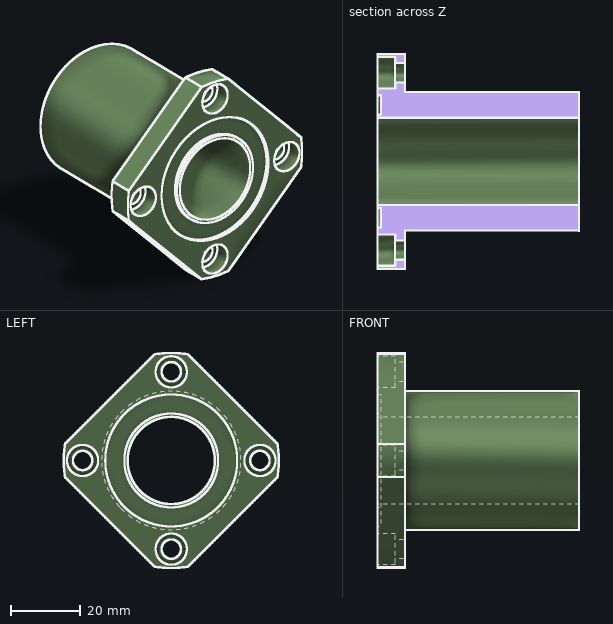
import cadquery as cq

flange_diameter = 61.95
flange_across_flats = 50.0
flange_thickness = 8.0

overall_length = 58.0
body_diameter = 40.0
bore_diameter = 25.05

recess_outer_diameter = 38.0
recess_inner_diameter = 27.0
recess_depth = 1.0

hole_count = 4
hole_circle_diameter = 51.0
hole_diameter = 5.5
counterbore_diameter = 9.0
counterbore_depth = 5.1


def cylinder(diameter, length):
    """Cylinder along +X, starting at the flange face."""
    return cq.Workplane("YZ").circle(diameter / 2).extrude(length)


def make_flange():
    square = (
        cq.Workplane("YZ")
        .rect(flange_across_flats, flange_across_flats)
        .extrude(flange_thickness)
        .rotate((0, 0, 0), (1, 0, 0), 45)
    )
    return square.intersect(cylinder(flange_diameter, flange_thickness))


def make_recess():
    return cylinder(recess_outer_diameter, recess_depth).cut(
        cylinder(recess_inner_diameter, recess_depth)
    )


def make_mounting_holes():
    hole = cylinder(hole_diameter, flange_thickness).union(
        cylinder(counterbore_diameter, counterbore_depth)
    )
    first_hole = hole.translate((0, hole_circle_diameter / 2, 0))
    holes = first_hole
    for index in range(1, hole_count):
        angle = index * 360 / hole_count
        holes = holes.union(first_hole.rotate((0, 0, 0), (1, 0, 0), angle))
    return holes


result = (
    make_flange()
    .union(cylinder(body_diameter, overall_length))
    .cut(cylinder(bore_diameter, overall_length))
    .cut(make_recess())
    .cut(make_mounting_holes())
)